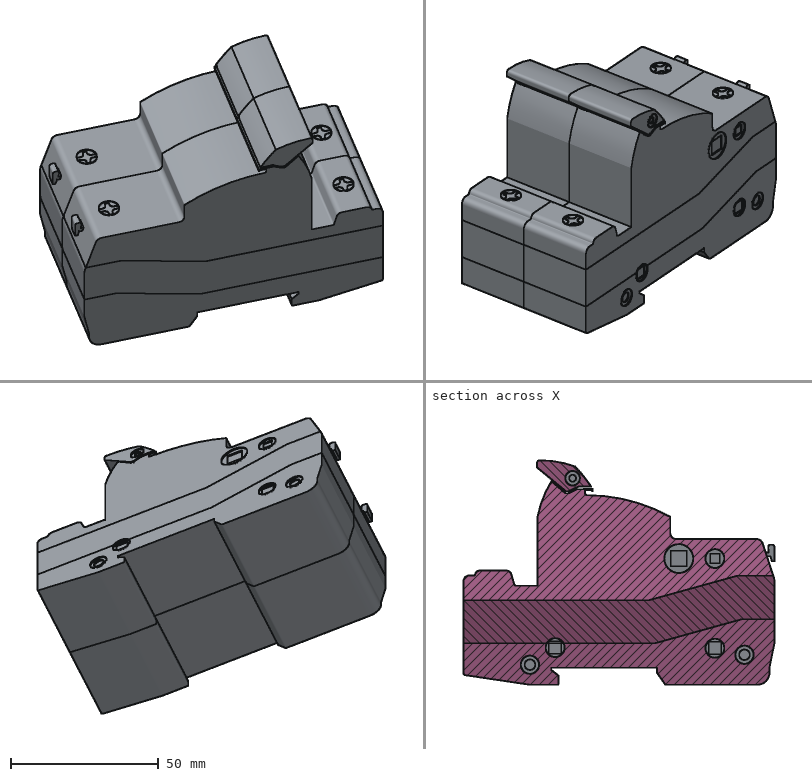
import cadquery as cq

module_count = 2
total_width = 53.0
module_width = total_width / module_count
front = -52.6
rear = 52.6
length = rear - front

underside = 0.0
rail_top = 5.8
rear_deck = 38.7
rear_ledge = 37.0
rear_well = 33.6
front_deck = 49.4
dome_front = 56.8
dome_rear = 64.2
lip_underside = 65.8

tower_rear = 27.6
tower_front = -17.4
notch_wall = 11.5
chin = -50.9

rear_heel = (rear, 3.4)
rear_foot = (29.9, underside)
hook_toe = (20.4, underside)
hook_tip = (20.4, 3.2)
hook_root = (22.8, 5.0)
rail_front = (-12.8, 4.1)
front_foot = (-15.7, underside)
front_heel = (chin, underside)
chin_top = (chin, 6.0)
chin_slope_top = (front, 14.3)
brow = (front, 35.6)
front_deck_edge = (-48.1, front_deck)
dome_middle = (-2.9, 62.5)
dome_front_edge = (tower_front, dome_front)
front_step = (tower_front, front_deck)
rear_top = (rear, rear_ledge)
ledge_step = (48.7, rear_ledge)
step_middle = (48.2, 38.2)
step_top = (46.8, rear_deck)
well_edge = (36.7, rear_deck)
well_corner = (35.3, rear_well)
tower_back_middle = (25.8, 63.0)
ridge_peak = (22.8, 68.9)
seat_rear = (18.1, 64.8)
seat_front = (17.0, 64.8)
lip_root = (14.2, 66.2)
lip_tip = (8.8, 66.3)
lip_point = (8.8, 65.5)
lip_barb = (9.0, 65.5)
lip_barb_root = (9.3, lip_underside)
notch_floor = (notch_wall, dome_rear)

housing_roundings = [
    (rear_heel, 0.8),
    (rear_foot, 3.2),
    (hook_toe, 0.5),
    (front_foot, 0.8),
    (front_heel, 4.3),
    (chin_top, 3.6),
    (brow, 4.2),
    (front_deck_edge, 2.3),
    (front_step, 2.0),
    (dome_front_edge, 0.4),
    (well_corner, 0.7),
    (well_edge, 2.0),
    (ledge_step, 0.3),
    (rear_top, 2.1),
    (notch_floor, 0.6),
]

split_rise = 8.2
split_run = 29.7
upper_split_rear = (-10.0, 28.7)
lower_split_rear = (-11.8, 14.1)

recess_depth = 0.4
pivot_square = {"place": (-20.2, 42.7), "radius": 4.8, "side": 5.4}
link_square = {"place": (-32.4, 42.7), "radius": 3.2, "side": 3.3}
rivet_places = [(21.6, 12.6), (-32.4, 12.4)]
rivet_radius = 3.2
rivet_side = 4.2
pin_places = [(30.1, 6.8), (-42.4, 10.2)]
pin_radius = 3.0
pin_hole_radius = 1.8

rear_screw = (0.0, 42.6, rear_deck)
front_screw = (-0.2, -40.0, front_deck)
screw_radius = 3.5
screw_recess = 0.3
cross_width = 1.4
cross_length_x = 5.7
cross_length_y = 6.7
cross_depth = 0.2
cross_fillet = 1.4

tab_width = 4.1
tab_top = 47.5
tab_bottom = 41.8
tab_back = -50.4
tab_back_rounding = 0.8
tab_front_rounding = 0.9
tab_shoulder = (tab_back, 46.1)
neck_back = -48.4
neck_top = 44.8
neck_bottom = 43.5
neck_top_end = -50.6
neck_bottom_end = -51.2
tab_bottom_back = -51.7

lever_back = 27.8
lever_top = 76.0
lever_top_rounding = 1.0
lever_heel = (lever_back, 73.6)
lever_heel_rounding = 0.4
lever_shoulder = (14.8, 73.9)
lever_front_middle = (12.0, 70.6)
lever_tip = (9.4, 67.0)
lever_bottom_front = (13.7, 67.0)
lever_seat_front = (16.9, 65.5)
lever_seat_rear = (18.0, 65.5)
lever_pivot = (15.7, 69.9)
lever_ring_radius = 2.4
lever_hole_radius = 1.2


def side_plane(depth=0.0):
    """Plane with axes Y and Z, at a depth below the left side of a module."""
    return cq.Workplane("YZ").workplane(offset=depth - module_width / 2)


def round_corners(body, roundings):
    """Round the edges along X that pass through the given corners."""
    for (y, z), radius in roundings:
        body = body.edges("|X").edges(cq.NearestToPointSelector((0, y, z))).fillet(radius)
    return body


def square_recess(place, radius, side):
    """Round recess with a square hole in its floor, as a cutting tool."""
    recess = side_plane().center(*place).circle(radius).extrude(recess_depth)
    hole = side_plane(recess_depth).center(*place).rect(side, side).extrude(recess_depth)
    return recess.union(hole)


def ring_recess(place, radius, hole_radius):
    """Round recess with a round hole in its floor, as a cutting tool."""
    recess = side_plane().center(*place).circle(radius).extrude(recess_depth)
    hole = side_plane(recess_depth).center(*place).circle(hole_radius).extrude(recess_depth)
    return recess.union(hole)


def screw_recess_with_cross(x, y, deck):
    """Round recess in a deck with a cross slot in its floor, as a cutting tool."""
    recess = cq.Workplane("XY", origin=(x, y, deck)).circle(screw_radius).extrude(-screw_recess)
    floor = cq.Workplane("XY", origin=(x, y, deck - screw_recess))
    cross = floor.rect(cross_length_x, cross_width).extrude(-cross_depth)
    cross = cross.union(floor.rect(cross_width, cross_length_y).extrude(-cross_depth))
    around_center = cq.selectors.BoxSelector(
        (x - cross_width, y - cross_width, deck - screw_radius),
        (x + cross_width, y + cross_width, deck),
    )
    return recess.union(cross.edges("|Z").edges(around_center).fillet(cross_fillet))


def housing_outline():
    dome_and_front = (
        side_plane()
        .moveTo(*notch_floor)
        .threePointArc(dome_middle, dome_front_edge)
        .lineTo(*front_step)
        .lineTo(*front_deck_edge)
        .lineTo(*brow)
        .lineTo(*chin_slope_top)
        .lineTo(*chin_top)
        .lineTo(*front_heel)
    )
    rail_and_rear = (
        dome_and_front.lineTo(*front_foot)
        .lineTo(*rail_front)
        .lineTo(rail_front[0], rail_top)
        .lineTo(hook_root[0], rail_top)
        .lineTo(*hook_root)
        .lineTo(*hook_tip)
        .lineTo(*hook_toe)
        .lineTo(*rear_foot)
        .lineTo(*rear_heel)
        .lineTo(*rear_top)
        .lineTo(*ledge_step)
        .threePointArc(step_middle, step_top)
        .lineTo(*well_edge)
        .lineTo(*well_corner)
    )
    tower_and_lip = (
        rail_and_rear.lineTo(tower_rear, rear_well)
        .lineTo(tower_rear, dome_front)
        .threePointArc(tower_back_middle, ridge_peak)
        .lineTo(*seat_rear)
        .lineTo(*seat_front)
        .lineTo(*lip_root)
        .lineTo(*lip_tip)
        .lineTo(*lip_point)
        .lineTo(*lip_barb)
        .lineTo(*lip_barb_root)
        .lineTo(notch_wall, lip_underside)
    )
    return tower_and_lip.close()


def make_housing():
    """The whole housing, before it is divided into base, band and cover."""
    housing = round_corners(housing_outline().extrude(module_width), housing_roundings)
    housing = housing.cut(square_recess(**pivot_square))
    housing = housing.cut(square_recess(**link_square))
    for place in rivet_places:
        housing = housing.cut(square_recess(place, rivet_radius, rivet_side))
    for place in pin_places:
        housing = housing.cut(ring_recess(place, pin_radius, pin_hole_radius))
    for screw in (rear_screw, front_screw):
        housing = housing.cut(screw_recess_with_cross(*screw))
    return housing


def above_split(bend, height):
    """Everything above the line between two housing layers."""
    return (
        side_plane()
        .moveTo(length, height)
        .lineTo(bend, height)
        .lineTo(bend - split_run, height + split_rise)
        .lineTo(-length, height + split_rise)
        .lineTo(-length, length)
        .lineTo(length, length)
        .close()
        .extrude(module_width)
    )


def make_tab():
    """Front tab, with a neck that reaches into the sloping front of the cover."""
    tab = (
        cq.Workplane("YZ")
        .workplane(offset=-tab_width / 2)
        .moveTo(front, tab_bottom)
        .lineTo(front, tab_top)
        .lineTo(tab_back, tab_top)
        .lineTo(*tab_shoulder)
        .lineTo(neck_top_end, neck_top)
        .lineTo(neck_back, neck_top)
        .lineTo(neck_back, neck_bottom)
        .lineTo(neck_bottom_end, neck_bottom)
        .lineTo(tab_bottom_back, tab_bottom)
        .close()
        .extrude(tab_width)
    )
    top_corners = [((front, tab_top), tab_front_rounding), ((tab_back, tab_top), tab_back_rounding)]
    return round_corners(tab, top_corners)


def make_base(housing):
    return housing.cut(above_split(*lower_split_rear))


def make_band(housing):
    return housing.intersect(above_split(*lower_split_rear)).cut(above_split(*upper_split_rear))


def make_cover(housing):
    return housing.intersect(above_split(*upper_split_rear)).union(make_tab())


def make_lever():
    lever = (
        side_plane()
        .moveTo(*lever_heel)
        .lineTo(lever_back, lever_top - lever_top_rounding)
        .tangentArcPoint((lever_back - lever_top_rounding, lever_top), relative=False)
        .tangentArcPoint(lever_shoulder, relative=False)
        .threePointArc(lever_front_middle, lever_tip)
        .lineTo(*lever_bottom_front)
        .lineTo(*lever_seat_front)
        .lineTo(*lever_seat_rear)
        .close()
        .extrude(module_width)
    )
    lever = round_corners(lever, [(lever_heel, lever_heel_rounding)])
    return lever.cut(ring_recess(lever_pivot, lever_ring_radius, lever_hole_radius))


housing = make_housing()
module_parts = [make_base(housing), make_band(housing), make_cover(housing), make_lever()]

bodies = []
for index in range(module_count):
    module_x = (index - (module_count - 1) / 2) * module_width
    for part in module_parts:
        bodies.extend(part.translate((module_x, 0, 0)).solids().vals())

result = cq.Compound.makeCompound(bodies)